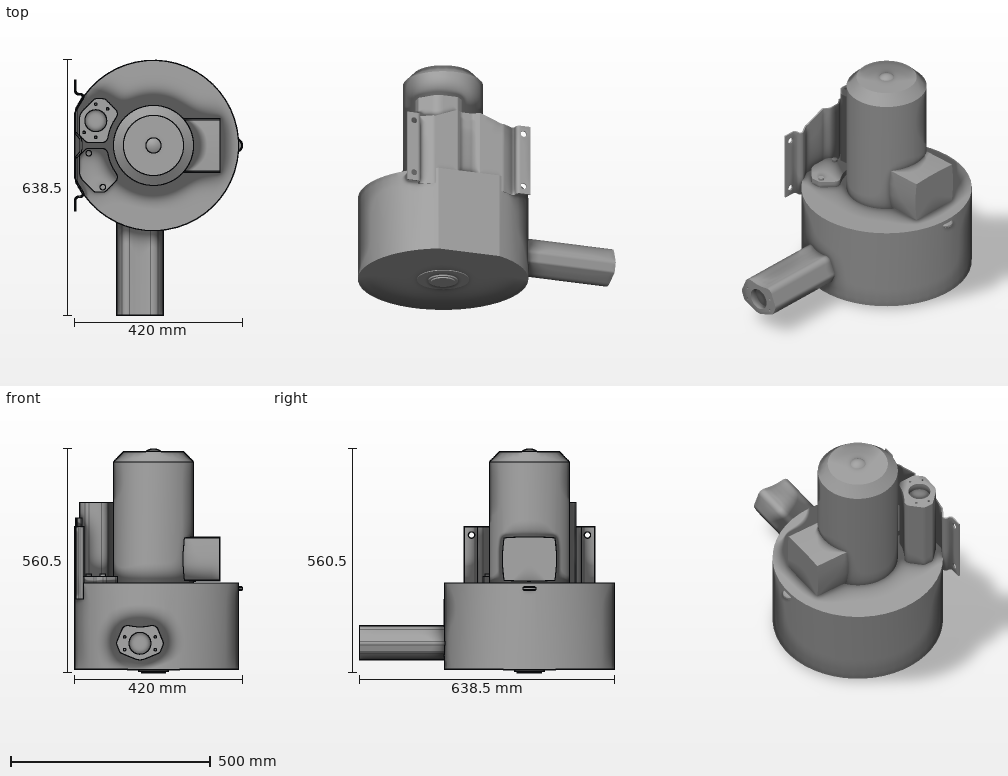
import cadquery as cq
import math


DRUM_RADIUS = 213.0
DRUM_HEIGHT = 216.5
FLAT_X = -197.0

MOTOR_RADIUS = 100.0
MOTOR_TOP_RADIUS = 75.5
MOTOR_CONE_Z = 519.0
MOTOR_TOP_Z = 544.5
CAP_RADIUS = 19.0
CAP_HEIGHT = 7.0

BOX_END_X = 166.0
BOX_BOTTOM_Z = 220.0
BOX_TOP_Z = 331.5
BOX_HALF_WIDTH = 67.5
BOX_SIDE_BOW = 4.0
BOX_TOP_BOW = 2.5

FOOT_DISCS = [(65.0, -2.0), (37.0, -6.0), (30.5, -9.0)]

BUTTON_TIP_X = 223.0
BUTTON_RADIUS = 18.0
BUTTON_THICKNESS = 10.0
BUTTON_Z = 202.0
BUTTON_CHAMFER = 2.5

PORT_ANGLE = 22.5
PORT_SIDE_DISTANCE = 55.0
PORT_BASE_DISTANCE = 41.0
PORT_HOLLOW_RADIUS = 116.0
PORT_APEX_RADIUS = 33.0
PORT_LOW_RADIUS = 7.5
PORT_TIP_RADIUS = 13.0
PORT_TOP_RADIUS = 16.0
BORE_RADIUS = 27.5
BORE_DEPTH = 19.0
BOLT_CIRCLE_RADIUS = 41.5
BOLT_HOLE_RADIUS = 3.0
BOLT_HOLE_DEPTH = 13.0

STAND_X = -144.0
STAND_Y = 62.0
UPPER_PIPE_TOP_Z = 417.5
COVER_THICKNESS = 16.0
SCREW_OFFSET = 46.0
SCREW_RADIUS = 7.0
SCREW_HEIGHT = 6.0

OVERALL_LENGTH = 638.5
SIDE_PIPE_X = -34.0
SIDE_PIPE_Z = 65.0
SIDE_PIPE_END_Y = DRUM_RADIUS - OVERALL_LENGTH
SIDE_PIPE_ROOT_Y = -128.0
SIDE_PIPE_LENGTH = SIDE_PIPE_ROOT_Y - SIDE_PIPE_END_Y

SHEET = 4.0
FLANGE_BEND_RADIUS = 10.0
SMALL_BEND_RADIUS = 5.0
PLATE_BEND_RADIUS = 15.5
GROOVE_BEND_RADIUS = 11.5
BRACKET_HALF_WIDTH = 163.5
BRACKET_BOTTOM_Z = 175.5
BRACKET_WING_Z = 357.0
BRACKET_PEAK_Z = 378.5
PEAK_HALF_WIDTH = 32.0
WING_INNER_Y = 87.0
NOTCH_HALF_WIDTH = 85.0
NOTCH_CHAMFER = 4.0
BRACKET_DEPTH = 38.0
WEB_Y = 126.5
WEB_INNER_X = -174.0
PLATE_X = -195.0
PLATE_OUTER_Y = 92.5
PLATE_INNER_Y = 29.0
GROOVE_X = -183.0
GROOVE_HALF_WIDTH = 15.0
MOUNT_HOLE_RADIUS = 7.5
MOUNT_HOLE_Y = 145.0
MOUNT_HOLE_Z = (196.0, 336.0)


def make_drum():
    drum = cq.Workplane("XY").circle(DRUM_RADIUS).extrude(DRUM_HEIGHT)
    flat_cutter = cq.Workplane("XY").box(
        DRUM_RADIUS, 2 * DRUM_RADIUS, DRUM_HEIGHT, centered=(False, True, False)
    )
    drum = drum.cut(flat_cutter.translate((FLAT_X - DRUM_RADIUS, 0, 0)))
    for radius, bottom_z in FOOT_DISCS:
        drum = drum.union(cq.Workplane("XY").workplane(offset=bottom_z).circle(radius).extrude(-bottom_z))
    return drum


def make_motor():
    """Cylinder with a conical top and a domed cap, revolved about Z."""
    dome_radius = (CAP_RADIUS**2 + CAP_HEIGHT**2) / (2 * CAP_HEIGHT)
    half_angle = math.asin(CAP_RADIUS / dome_radius) / 2
    dome_centre_z = MOTOR_TOP_Z + CAP_HEIGHT - dome_radius
    dome_middle = (
        dome_radius * math.sin(half_angle),
        dome_centre_z + dome_radius * math.cos(half_angle),
    )
    return (
        cq.Workplane("XZ")
        .moveTo(0, 0)
        .lineTo(MOTOR_RADIUS, 0)
        .lineTo(MOTOR_RADIUS, MOTOR_CONE_Z)
        .lineTo(MOTOR_TOP_RADIUS, MOTOR_TOP_Z)
        .lineTo(CAP_RADIUS, MOTOR_TOP_Z)
        .threePointArc(dome_middle, (0, MOTOR_TOP_Z + CAP_HEIGHT))
        .close()
        .revolve(360, (0, 0, 0), (0, 1, 0))
    )


def make_terminal_box():
    corner_y = BOX_HALF_WIDTH - BOX_SIDE_BOW
    low_z = BOX_BOTTOM_Z + BOX_TOP_BOW
    high_z = BOX_TOP_Z - BOX_TOP_BOW
    middle_z = (BOX_BOTTOM_Z + BOX_TOP_Z) / 2
    return (
        cq.Workplane("YZ")
        .moveTo(-corner_y, low_z)
        .threePointArc((0, BOX_BOTTOM_Z), (corner_y, low_z))
        .threePointArc((BOX_HALF_WIDTH, middle_z), (corner_y, high_z))
        .threePointArc((0, BOX_TOP_Z), (-corner_y, high_z))
        .threePointArc((-BOX_HALF_WIDTH, middle_z), (-corner_y, low_z))
        .close()
        .extrude(BOX_END_X)
    )


def make_button():
    """Chamfered horizontal disc, mostly sunk into the drum wall."""
    return (
        cq.Workplane("XY")
        .center(BUTTON_TIP_X - BUTTON_RADIUS, 0)
        .circle(BUTTON_RADIUS)
        .extrude(BUTTON_THICKNESS)
        .edges("%CIRCLE")
        .chamfer(BUTTON_CHAMFER)
        .translate((0, 0, BUTTON_Z - BUTTON_THICKNESS / 2))
    )


def round_corners(solid, corners, middle_z):
    """Round the upright edge nearest to each (x, y, radius) corner."""
    for x, y, radius in corners:
        edge = cq.selectors.NearestToPointSelector((x, y, middle_z))
        solid = solid.edges("|Z").edges(edge).fillet(radius)
    return solid


def make_port(length):
    """Port block along +Z: its hollow side faces +Y, its pointed side faces -Y."""
    angle = math.radians(PORT_ANGLE)
    tip_x = PORT_SIDE_DISTANCE / math.cos(angle)
    apex_y = -PORT_BASE_DISTANCE / math.cos(angle)
    top_y = PORT_SIDE_DISTANCE
    top_x = tip_x - top_y * math.tan(angle)
    low_x = (tip_x / math.tan(angle) + apex_y) / (1 / math.tan(angle) - math.tan(angle))
    low_y = apex_y + low_x * math.tan(angle)
    corners = [
        (0, apex_y, PORT_APEX_RADIUS),
        (low_x, low_y, PORT_LOW_RADIUS),
        (tip_x, 0, PORT_TIP_RADIUS),
        (top_x, top_y, PORT_TOP_RADIUS),
        (-top_x, top_y, PORT_TOP_RADIUS),
        (-tip_x, 0, PORT_TIP_RADIUS),
        (-low_x, low_y, PORT_LOW_RADIUS),
    ]
    port = cq.Workplane("XY").polyline([(x, y) for x, y, _ in corners]).close().extrude(length)
    hollow = (
        cq.Workplane("XY")
        .center(0, PORT_BASE_DISTANCE + PORT_HOLLOW_RADIUS)
        .circle(PORT_HOLLOW_RADIUS)
        .extrude(length)
    )
    return round_corners(port.cut(hollow), corners, length / 2)


def make_pipe(length):
    """Port block with a blind bore and four bolt holes in its +Z end."""
    angle = math.radians(PORT_ANGLE)
    bolt_x = BOLT_CIRCLE_RADIUS * math.cos(angle)
    bolt_y = BOLT_CIRCLE_RADIUS * math.sin(angle)
    end = cq.Workplane("XY").workplane(offset=length)
    bore = end.circle(BORE_RADIUS).extrude(-BORE_DEPTH)
    bolts = end.rect(2 * bolt_x, 2 * bolt_y, forConstruction=True).vertices()
    bolts = bolts.circle(BOLT_HOLE_RADIUS).extrude(-BOLT_HOLE_DEPTH)
    return make_port(length).cut(bore).cut(bolts)


def make_cover():
    """Port outline plate held by two screws."""
    screws = (
        cq.Workplane("XY")
        .pushPoints([(-SCREW_OFFSET, 0), (SCREW_OFFSET, 0)])
        .circle(SCREW_RADIUS)
        .extrude(COVER_THICKNESS + SCREW_HEIGHT)
    )
    return make_port(COVER_THICKNESS).union(screws)


def place_on_drum(port, side):
    """Stand a port on the drum at +Y or -Y (side 1 or -1), its hollow facing the motor."""
    port = port.rotate((0, 0, 0), (0, 0, 1), -90 - side * PORT_ANGLE)
    return port.translate((STAND_X, side * STAND_Y, DRUM_HEIGHT))


def make_bracket():
    half_bends = [
        (FLAT_X, WEB_Y, FLANGE_BEND_RADIUS),
        (WEB_INNER_X, WEB_Y, SMALL_BEND_RADIUS),
        (PLATE_X, PLATE_OUTER_Y, PLATE_BEND_RADIUS),
        (PLATE_X, PLATE_INNER_Y, SMALL_BEND_RADIUS),
        (GROOVE_X, GROOVE_HALF_WIDTH, GROOVE_BEND_RADIUS),
    ]
    bends = half_bends + [(x, -y, radius) for x, y, radius in reversed(half_bends)]

    overrun_y = BRACKET_HALF_WIDTH + 2 * SHEET
    back_x = FLAT_X / 2
    path = [(back_x, overrun_y), (FLAT_X, overrun_y)]
    path += [(x, y) for x, y, _ in bends]
    path += [(FLAT_X, -overrun_y), (back_x, -overrun_y)]
    height = BRACKET_PEAK_Z - BRACKET_BOTTOM_Z
    tube = (
        cq.Workplane("XY")
        .workplane(offset=BRACKET_BOTTOM_Z)
        .polyline(path)
        .close()
        .extrude(height)
    )
    tube = round_corners(tube, bends, BRACKET_BOTTOM_Z + height / 2)
    tube = tube.faces("|Z").shell(-SHEET)

    half_outline = [
        (PEAK_HALF_WIDTH, BRACKET_PEAK_Z),
        (WING_INNER_Y, BRACKET_WING_Z),
        (BRACKET_HALF_WIDTH, BRACKET_WING_Z),
        (BRACKET_HALF_WIDTH, BRACKET_BOTTOM_Z),
        (NOTCH_HALF_WIDTH + NOTCH_CHAMFER, BRACKET_BOTTOM_Z),
        (NOTCH_HALF_WIDTH, BRACKET_BOTTOM_Z + NOTCH_CHAMFER),
        (NOTCH_HALF_WIDTH, DRUM_HEIGHT),
    ]
    outline = half_outline + [(-y, z) for y, z in reversed(half_outline)]
    trim = cq.Workplane("YZ").workplane(offset=FLAT_X).polyline(outline).close().extrude(BRACKET_DEPTH)
    hole_places = [(side * MOUNT_HOLE_Y, z) for side in (-1, 1) for z in MOUNT_HOLE_Z]
    holes = (
        cq.Workplane("YZ")
        .workplane(offset=FLAT_X)
        .pushPoints(hole_places)
        .circle(MOUNT_HOLE_RADIUS)
        .extrude(SHEET)
    )
    return tube.intersect(trim).cut(holes)


upper_pipe = place_on_drum(make_pipe(UPPER_PIPE_TOP_Z - DRUM_HEIGHT), 1)
cover = place_on_drum(make_cover(), -1)
side_pipe = (
    make_pipe(SIDE_PIPE_LENGTH)
    .rotate((0, 0, 0), (1, 0, 0), 90)
    .translate((SIDE_PIPE_X, SIDE_PIPE_ROOT_Y, SIDE_PIPE_Z))
)

attachments = [
    make_motor(),
    make_terminal_box(),
    make_button(),
    make_bracket(),
    upper_pipe,
    cover,
    side_pipe,
]
result = make_drum()
for piece in attachments:
    result = result.union(piece)